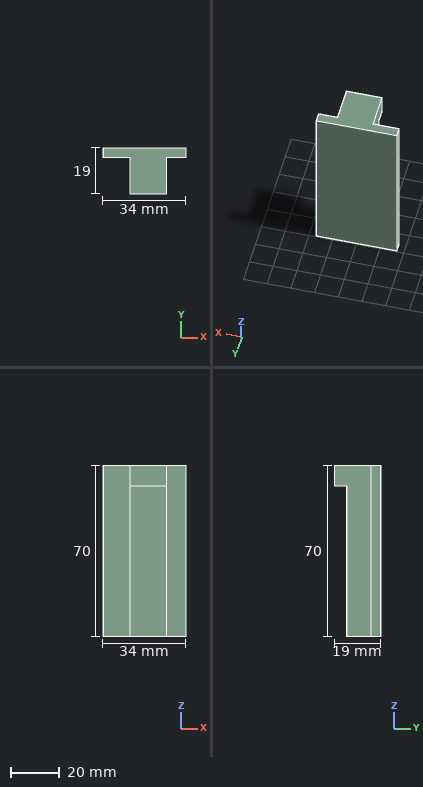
import cadquery as cq

height = 70.0
plate_width = 34.0
total_depth = 19.0

plate_thickness = 4.0
rib_depth = 14.0
rib_width = 15.05
rib_left = 11.0

lip_height = 8.5


def block_from_back(left, width, depth, bottom, top):
    """Box whose rear face lies on the back plane of the part, y = 0."""
    return cq.Workplane("XY").box(width, depth, top - bottom, centered=False).translate((left, -depth, bottom))


plate = block_from_back(0, plate_width, plate_thickness, 0, height)
rib = block_from_back(rib_left, rib_width, rib_depth, 0, height)
lip = block_from_back(rib_left, rib_width, total_depth, height - lip_height, height)

result = plate.union(rib).union(lip)